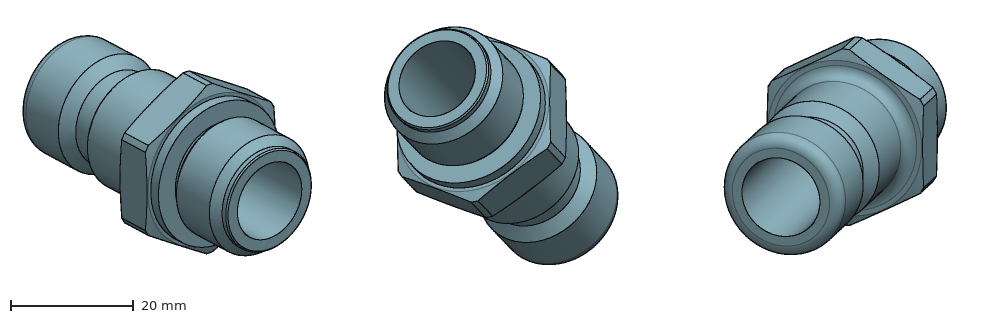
import cadquery as cq
import math

length = 52.0
neck_bevel_start = 10.4
neck_start = 12.4
neck_end = 15.85
neck_bevel_end = 17.9
hex_start = 30.0
hex_end = 37.0
washer_thickness = 2.0
relief_end = 40.55
thread_bevel_start = 49.35
tip_start = 50.8

bore_radius = 13.5 / 2
neck_radius = 16.8 / 2
plug_radius = 20.9 / 2
thread_radius = 20.95 / 2
relief_radius = 18.4 / 2
tip_radius = 18.0 / 2
washer_radius = 25.5 / 2

nose_round = 2.05
shoulder_fillet = 2.05
thread_edge_bevel = 0.25
tip_bevel = 0.25

across_flats = 27.0
corner_diameter = 30.45
face_circle_radius = 13.35
hex_bevel_depth = 0.45

washer_end = hex_end + washer_thickness
diagonal = math.sqrt(0.5)


def make_turned_body():
    """Revolved stem, shoulder, thread relief, thread envelope and tip, with a through bore."""
    nose_arc_middle = (
        nose_round * (1 - diagonal),
        plug_radius - nose_round * (1 - diagonal),
    )
    shoulder_start = hex_start - shoulder_fillet
    shoulder_arc_middle = (
        shoulder_start + shoulder_fillet * diagonal,
        plug_radius + shoulder_fillet * (1 - diagonal),
    )
    relief_run = relief_end - washer_end
    relief_rise = thread_radius - thread_edge_bevel - relief_radius
    profile = (
        cq.Workplane("XY")
        .moveTo(0, bore_radius)
        .lineTo(0, plug_radius - nose_round)
        .threePointArc(nose_arc_middle, (nose_round, plug_radius))
        .lineTo(neck_bevel_start, plug_radius)
        .lineTo(neck_start, neck_radius)
        .lineTo(neck_end, neck_radius)
        .lineTo(neck_bevel_end, plug_radius)
        .lineTo(shoulder_start, plug_radius)
        .threePointArc(shoulder_arc_middle, (hex_start, plug_radius + shoulder_fillet))
        .lineTo(hex_end, plug_radius + shoulder_fillet)
        .lineTo(hex_end, relief_radius)
        .lineTo(washer_end, relief_radius)
        .tangentArcPoint((relief_run, relief_rise))
        .lineTo(relief_end + thread_edge_bevel, thread_radius)
        .lineTo(thread_bevel_start, thread_radius)
        .lineTo(tip_start, tip_radius)
        .lineTo(length - tip_bevel, tip_radius)
        .lineTo(length, tip_radius - tip_bevel)
        .lineTo(length, bore_radius)
        .close()
    )
    return profile.revolve(360, (0, 0, 0), (1, 0, 0))


def make_hexagon():
    """Hexagon collar with corners on Z, turned corners and shallow conical bevels."""
    hex_width = hex_end - hex_start
    corner_radius = corner_diameter / 2
    prism = (
        cq.Workplane("YZ", origin=(hex_start, 0, 0))
        .polygon(6, across_flats / math.cos(math.pi / 6))
        .circle(bore_radius)
        .extrude(hex_width)
        .rotate((0, 0, 0), (1, 0, 0), 30)
    )
    envelope = (
        cq.Workplane("XY")
        .polyline([
            (hex_start, 0),
            (hex_start, face_circle_radius),
            (hex_start + hex_bevel_depth, corner_radius),
            (hex_end - hex_bevel_depth, corner_radius),
            (hex_end, face_circle_radius),
            (hex_end, 0),
        ])
        .close()
        .revolve(360, (0, 0, 0), (1, 0, 0))
    )
    return prism.intersect(envelope)


def make_washer():
    """Flat sealing ring seated on the thread relief against the hexagon."""
    return (
        cq.Workplane("YZ", origin=(hex_end, 0, 0))
        .circle(washer_radius)
        .circle(relief_radius)
        .extrude(washer_thickness)
    )


fitting = make_turned_body().union(make_hexagon()).solids()
washer = make_washer()

result = cq.Compound.makeCompound([fitting.val(), washer.val()])